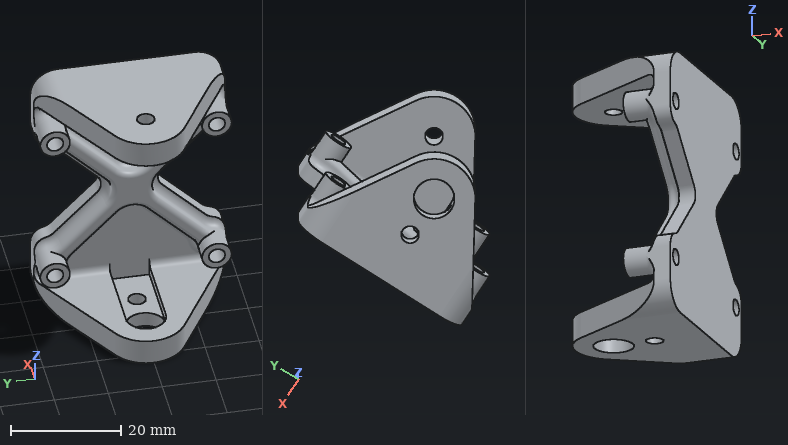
import cadquery as cq
import math

depth = 25.5
height = 50.0
web_thickness = 3.2
flange_thickness = 5.0
corner_radius = 5.0
inner_fillet = 1.5

tip_radius = 7.5
pivot_x = tip_radius - depth
pivot_hole_diameter = 3.2

slot_width = 7.4
slot_depth = 2.0
slot_hole_diameter = 3.2
slot_hole_offset = 8.0

standoff_spacing = 30.0
standoff_diameter = 5.5
standoff_height = 6.0
screw_hole_diameter = 3.0

rib_width = 3.0
rib_height = 3.0
rib_top_fillet = 1.0
rib_base_fillet = 1.5

web_corner_radius = 3.0
crossing_radius = 2.5

web_face_x = -web_thickness
flange_inner_z = height / 2 - flange_thickness
standoff_radius = standoff_diameter / 2
standoff_offset = standoff_spacing / 2
standoff_reach = standoff_offset * math.sqrt(2)
width = standoff_spacing + standoff_diameter
half_diagonal = math.sqrt(0.5)
waist_vertex = (rib_width / 2 + rib_base_fillet) * math.sqrt(2)
rib_end_radius = web_corner_radius + rib_base_fillet
rib_crossing_radius = crossing_radius + rib_base_fillet
standoff_centres = [(y, z) for y in (-standoff_offset, standoff_offset)
                    for z in (-standoff_offset, standoff_offset)]


def toward_front(start_x):
    """YZ sketch plane at start_x; a negative extrusion runs toward -X."""
    return cq.Workplane("YZ", origin=(start_x, 0, 0))


def side_notch():
    """Cutter for the V notch in the +Y side: round vertex, 45 degree flanks and S-curved ends."""
    radius = web_corner_radius
    half_width = width / 2
    diagonal = radius * half_diagonal
    vertex_centre_y = waist_vertex + crossing_radius * math.sqrt(2)
    vertex_diagonal = crossing_radius * half_diagonal

    convex_y = half_width - radius
    convex_z = half_width - waist_vertex

    across = radius + diagonal
    along = math.sqrt((2 * radius) ** 2 - across ** 2)
    concave_y = convex_y + (across - along) * half_diagonal
    concave_z = convex_z - (across + along) * half_diagonal

    vertex_end = (vertex_centre_y - vertex_diagonal, vertex_diagonal)
    flank_end = (concave_y - diagonal, concave_z + diagonal)
    joint = ((convex_y + concave_y) / 2, (convex_z + concave_z) / 2)
    side_end = (half_width, convex_z)

    flank_angle = math.radians(135)
    joint_angle = math.atan2(concave_z - convex_z, concave_y - convex_y)
    convex_middle = (
        convex_y + radius * math.cos(joint_angle / 2),
        convex_z + radius * math.sin(joint_angle / 2),
    )
    concave_angle = (joint_angle + math.pi + flank_angle) / 2
    concave_middle = (
        concave_y + radius * math.cos(concave_angle),
        concave_z + radius * math.sin(concave_angle),
    )

    def lower(point):
        return (point[0], -point[1])

    return (
        toward_front(0)
        .moveTo(*lower(vertex_end))
        .threePointArc((vertex_centre_y - crossing_radius, 0), vertex_end)
        .lineTo(*flank_end)
        .threePointArc(concave_middle, joint)
        .threePointArc(convex_middle, side_end)
        .lineTo(width, convex_z)
        .lineTo(width, -convex_z)
        .lineTo(*lower(side_end))
        .threePointArc(lower(convex_middle), lower(joint))
        .threePointArc(lower(concave_middle), lower(flank_end))
        .close()
        .extrude(-depth)
    )


def outline_prism():
    """Outline across X: rounded rectangle with a notch in each side, full depth."""
    prism = toward_front(0).rect(width, height).extrude(-depth)
    prism = prism.edges("|X").fillet(corner_radius)
    notch = side_notch()
    return prism.cut(notch).cut(notch.mirror("XZ"))


def flange_profile():
    """Flange in plan: straight sides from the web face, tangent to the tip arc."""
    half_width = width / 2
    run = web_face_x - pivot_x
    distance = math.hypot(run, half_width)
    normal_angle = math.atan2(half_width, run) + math.acos(tip_radius / distance)
    tangent_x = pivot_x + tip_radius * math.cos(normal_angle)
    tangent_y = tip_radius * math.sin(normal_angle)
    return (
        cq.Workplane("XY", origin=(0, 0, -height / 2))
        .moveTo(0, -half_width)
        .lineTo(web_face_x, -half_width)
        .lineTo(tangent_x, -tangent_y)
        .threePointArc((-depth, 0), (tangent_x, tangent_y))
        .lineTo(web_face_x, half_width)
        .lineTo(0, half_width)
        .close()
    )


def channel():
    """Web and both flanges, with filleted inner corners."""
    body = flange_profile().extrude(height)
    opening = (
        cq.Workplane("XY")
        .box(depth, 2 * width, 2 * flange_inner_z)
        .translate((web_face_x - depth / 2, 0, 0))
        .edges("|Y and >X")
        .fillet(inner_fillet)
    )
    return body.cut(opening)


def rib_cross():
    """Crossed ribs with round ends under the standoffs and rounded top edges."""
    cross = None
    for quarter in range(4):
        bar = (
            toward_front(0)
            .center(standoff_reach / 2, 0)
            .rect(standoff_reach, rib_width)
            .extrude(-rib_height)
        )
        end = toward_front(0).center(standoff_reach, 0).circle(standoff_radius).extrude(-rib_height)
        arm = bar.union(end).rotate((0, 0, 0), (1, 0, 0), 45 + 90 * quarter)
        cross = arm if cross is None else cross.union(arm)

    def from_axis(edge):
        return math.hypot(edge.Center().y, edge.Center().z)

    crossing_corners = cross.edges("|X").filter(lambda edge: from_axis(edge) < rib_width)
    cross = crossing_corners.fillet(rib_crossing_radius)
    end_corners = cross.edges("|X").filter(
        lambda edge: standoff_reach - standoff_diameter < from_axis(edge) < standoff_reach
    )
    cross = end_corners.fillet(rib_end_radius)
    cross = cross.faces("<X").edges().fillet(rib_top_fillet)
    return cross.translate((web_face_x, 0, 0))


def ribbed_web():
    """Oversize web with the rib cross blended into it."""
    slab = toward_front(0).rect(2 * width, 2 * height).extrude(-web_thickness)
    web = slab.union(rib_cross())
    rib_foot = web.faces(cq.selectors.NearestToPointSelector((web_face_x, 0, height / 2)))
    rib_foot_edges = rib_foot.edges().filter(
        lambda edge: max(abs(edge.Center().y), abs(edge.Center().z)) < width / 2
    )
    return rib_foot_edges.fillet(rib_base_fillet)


def standoffs():
    return (
        toward_front(0)
        .pushPoints(standoff_centres)
        .circle(standoff_radius)
        .extrude(-web_thickness - standoff_height)
    )


def screw_holes():
    return toward_front(0).pushPoints(standoff_centres).circle(screw_hole_diameter / 2).extrude(-depth)


def upper_pivot_hole():
    return (
        cq.Workplane("XY", origin=(pivot_x, 0, 0))
        .circle(pivot_hole_diameter / 2)
        .extrude(height / 2)
    )


def lower_slot():
    """Slot from the pivot to the web, a through hole at its end and a small hole in its floor."""
    slot_length = web_face_x - pivot_x
    floor_z = -flange_inner_z - slot_depth
    channel_cut = (
        cq.Workplane("XY", origin=(pivot_x, 0, floor_z))
        .center(slot_length / 2, 0)
        .rect(slot_length, slot_width)
        .extrude(slot_depth + inner_fillet)
    )
    end_hole = (
        cq.Workplane("XY", origin=(pivot_x, 0, -height / 2))
        .circle(slot_width / 2)
        .extrude(flange_thickness)
    )
    floor_hole = (
        cq.Workplane("XY", origin=(pivot_x + slot_hole_offset, 0, -height / 2))
        .circle(slot_hole_diameter / 2)
        .extrude(flange_thickness)
    )
    return channel_cut.union(end_hole).union(floor_hole)


result = (
    channel()
    .cut(lower_slot())
    .cut(upper_pivot_hole())
    .union(ribbed_web())
    .intersect(outline_prism())
    .union(standoffs())
    .cut(screw_holes())
)